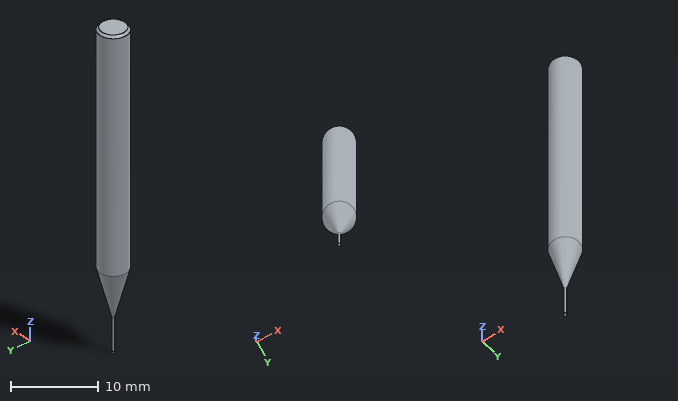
import cadquery as cq
import math

total_length = 45.0
shank_diameter = 4.0
shank_chamfer = 0.3
cone_top_height = 11.92
neck_top_height = 5.0
neck_diameter = 0.37
cutter_diameter = 0.4
cutter_length = 0.4

shank_radius = shank_diameter / 2
neck_radius = neck_diameter / 2
cutter_radius = cutter_diameter / 2
arc_midpoint_offset = cutter_radius * math.sqrt(0.5)

AXIS_START = (0, 0, 0)
AXIS_END = (0, 1, 0)


def make_holder():
    """Chamfered shank, cone and thin neck, turned as one body."""
    profile = cq.Workplane("XZ").polyline([
        (0, cutter_length),
        (neck_radius, cutter_length),
        (neck_radius, neck_top_height),
        (shank_radius, cone_top_height),
        (shank_radius, total_length - shank_chamfer),
        (shank_radius - shank_chamfer, total_length),
        (0, total_length),
    ]).close()
    return profile.revolve(360, AXIS_START, AXIS_END)


def make_cutter():
    """Short round cutter with a hemispherical nose, below the neck."""
    profile = (
        cq.Workplane("XZ")
        .moveTo(0, 0)
        .threePointArc(
            (arc_midpoint_offset, cutter_radius - arc_midpoint_offset),
            (cutter_radius, cutter_radius),
        )
        .lineTo(cutter_radius, cutter_length)
        .lineTo(0, cutter_length)
        .close()
    )
    return profile.revolve(360, AXIS_START, AXIS_END)


holder = make_holder()
cutter = make_cutter()

result = cq.Compound.makeCompound([holder.val(), cutter.val()])